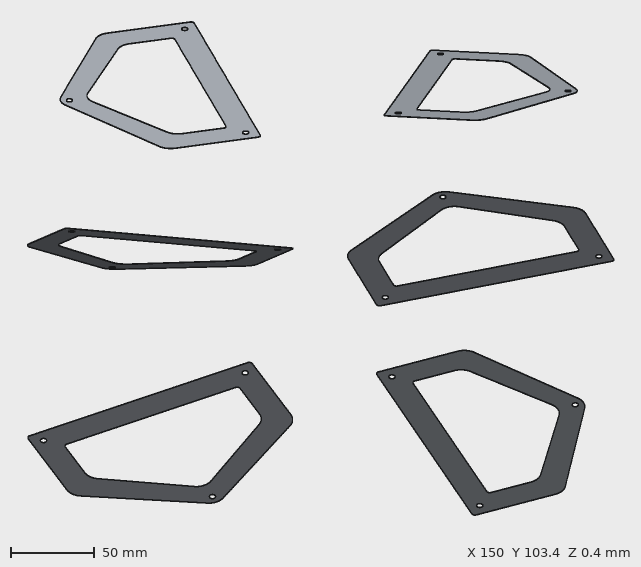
import cadquery as cq
import math

width = 150.0
depth = 103.4
thickness = 0.4
outer_slope = 31.6

window_width = 117.0
window_top_margin = 16.6
window_bottom_margin = 16.6
window_slope = 33.7

top_corner_radius = 2.0
lower_corner_radius = 10.0

hole_diameter = 3.8
top_hole_spacing = 135.0
top_hole_margin = 7.5
bottom_hole_margin = 5.4

top_y = depth / 2
bottom_y = -depth / 2


def rounded_pentagon(full_width, upper_y, lower_y, slope):
    """Solid pentagon pointing to -Y, whose rounded tip touches lower_y."""
    half_width = full_width / 2
    angle = math.radians(slope)
    tip_y = lower_y - lower_corner_radius * (1 / math.cos(angle) - 1)
    shoulder_y = tip_y + half_width * math.tan(angle)
    outline = [
        (-half_width, upper_y),
        (half_width, upper_y),
        (half_width, shoulder_y),
        (0, tip_y),
        (-half_width, shoulder_y),
    ]
    body = (
        cq.Workplane("XY")
        .workplane(offset=-thickness / 2)
        .polyline(outline)
        .close()
        .extrude(thickness)
    )
    middle_y = (upper_y + shoulder_y) / 2
    top_corners = cq.selectors.BoxSelector(
        (-width, middle_y, -thickness), (width, depth, thickness)
    )
    lower_corners = cq.selectors.BoxSelector(
        (-width, -depth, -thickness), (width, middle_y, thickness)
    )
    body = body.edges("|Z").edges(top_corners).fillet(top_corner_radius)
    return body.edges("|Z").edges(lower_corners).fillet(lower_corner_radius)


plate = rounded_pentagon(width, top_y, bottom_y, outer_slope)
window = rounded_pentagon(
    window_width,
    top_y - window_top_margin,
    bottom_y + window_bottom_margin,
    window_slope,
)

top_hole_y = top_y - top_hole_margin
hole_centers = [
    (-top_hole_spacing / 2, top_hole_y),
    (top_hole_spacing / 2, top_hole_y),
    (0, bottom_y + bottom_hole_margin),
]
holes = (
    cq.Workplane("XY")
    .workplane(offset=-thickness / 2)
    .pushPoints(hole_centers)
    .circle(hole_diameter / 2)
    .extrude(thickness)
)

result = plate.cut(window).cut(holes)